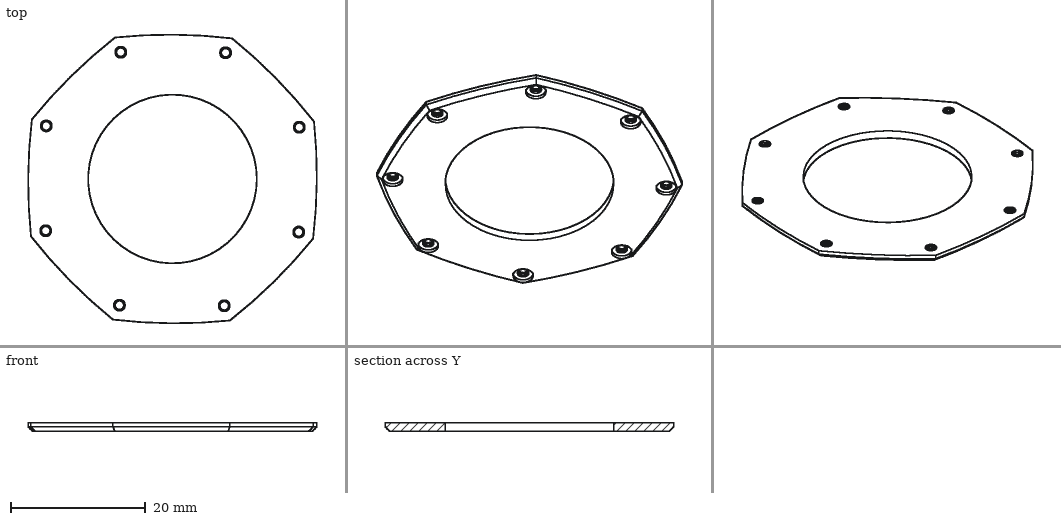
import cadquery as cq
import math

thickness = 1.3
side_count = 8
side_reach = 21.45
corner_radius = 22.67
outline_turn = -0.45
edge_chamfer = 0.7

bore_diameter = 25.0

screw_circle_radius = 20.3
screw_turn = -0.3
thread_crest_diameter = 1.3
thread_root_diameter = 1.67
thread_pitch = 0.35
counterbore_diameter = 3.0
counterbore_depth = 0.5

side_angle = 360 / side_count


def polar(radius, degrees):
    angle = math.radians(degrees)
    return radius * math.cos(angle), radius * math.sin(angle)


def make_plate():
    """Eight shallow arcs between the corners, bevelled along the bottom."""
    outline = cq.Workplane("XY").moveTo(*polar(corner_radius, outline_turn - side_angle / 2))
    for side in range(side_count):
        middle = outline_turn + side * side_angle
        outline = outline.threePointArc(
            polar(side_reach, middle),
            polar(corner_radius, middle + side_angle / 2),
        )
    return outline.close().extrude(thickness).faces("<Z").edges().chamfer(edge_chamfer)


def make_bore():
    return cq.Workplane("XY").circle(bore_diameter / 2).extrude(thickness)


def make_hole_cutter():
    """Counterbore topped by ring-shaped V grooves that stand in for the thread."""
    groove_count = math.ceil((thickness - counterbore_depth) / thread_pitch)
    profile = [
        (0, 0),
        (counterbore_diameter / 2, 0),
        (counterbore_diameter / 2, counterbore_depth),
    ]
    for groove in range(groove_count):
        root_height = counterbore_depth + groove * thread_pitch
        profile.append((thread_root_diameter / 2, root_height))
        profile.append((thread_crest_diameter / 2, root_height + thread_pitch / 2))
    top_height = profile[-1][1]
    profile.append((0, top_height))
    return cq.Workplane("XZ").polyline(profile).close().revolve(360, (0, 0), (0, 1)).val()


def make_screw_holes():
    """One threaded through hole inside each corner."""
    cutter = make_hole_cutter()
    centres = [
        polar(screw_circle_radius, screw_turn + (hole + 0.5) * side_angle)
        for hole in range(side_count)
    ]
    return cq.Workplane("XY").pushPoints(centres).eachpoint(lambda place: cutter.moved(place))


result = make_plate().cut(make_bore()).cut(make_screw_holes())